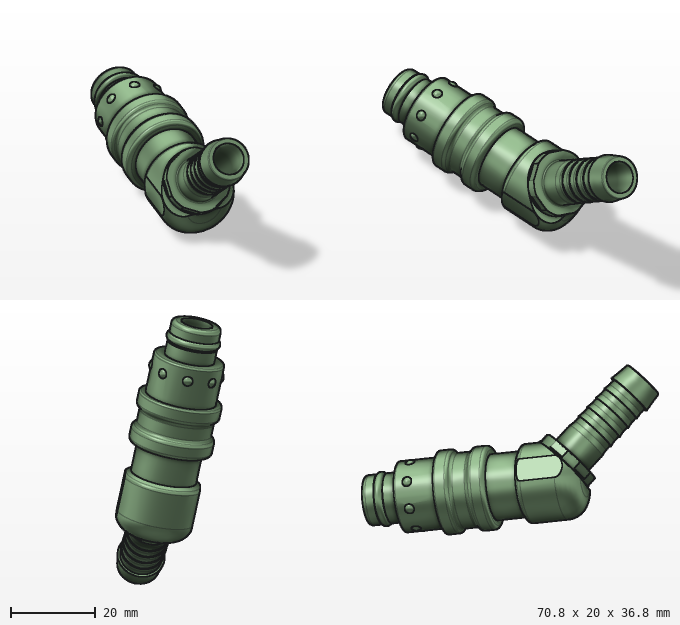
import cadquery as cq
import math

spigot_radius = 12.0 / 2
spigot_edge_fillet = 1.0
groove_start = 3.05
groove_end = 5.3
groove_radius = 9.0 / 2
ring_center = 4.05
ring_section_radius = 1.0

sleeve_start = 8.6
sleeve_radius = 16.95 / 2
sleeve_edge_fillet = 0.4
ball_count = 8
ball_station = 12.0
ball_radius = 1.5
ball_tip_radius = 18.0 / 2
ball_start_angle = -2

collar_start = 18.6
neck_start = 23.1
neck_end = 26.1
collar_end = 31.05
collar_radius = 20.0 / 2
neck_radius = 18.0 / 2
collar_front_fillet = 0.4
blend_radius = 1.0
blend_angle = math.radians(60)

shaft_radius = 15.7 / 2
elbow_shoulder = 39.7
elbow_end = 53.1
elbow_radius = 9.4
elbow_end_fillet = 4.95
elbow_flat_distance = 18.0 / 2
pivot_x = 44.0
nozzle_angle = 45
nut_seat = 5.45

bore_radius = 7.5 / 2
bore_depth = 35.4
drill_point_angle = 118
nozzle_bore_depth = 24.8

nut_radius = 15.6 / 2
nut_across_flats = 15.0
nut_collar_height = 0.5
nut_height = 2.7
hose_radius = 10.5 / 2
root_radius = 10.0 / 2
nozzle_root_fillet = 0.35
first_barb = 7.9
barb_pitch = 3.0
barb_count = 5
barb_taper_length = 1.5
head_start = first_barb + barb_count * barb_pitch
head_radius = 11.3 / 2
tip_radius = 10.05 / 2
nozzle_length = 27.55
tip_edge_fillet = 0.2

tilt = math.radians(nozzle_angle)
nozzle_direction = cq.Vector(math.cos(tilt), 0, math.sin(tilt))
seat_plane = cq.Plane(
    origin=cq.Vector(pivot_x, 0, 0) + nozzle_direction * nut_seat,
    xDir=(0, 1, 0),
    normal=nozzle_direction,
)


def cylinder_x(start, end, radius):
    """Solid cylinder on the main axis."""
    return cq.Workplane("YZ", origin=(start, 0, 0)).circle(radius).extrude(end - start)


def make_spigot():
    spigot = cylinder_x(0, sleeve_start, spigot_radius).faces("<X").edges().fillet(spigot_edge_fillet)
    groove = cylinder_x(groove_start, groove_end, sleeve_radius).cut(
        cylinder_x(groove_start, groove_end, groove_radius)
    )
    return spigot.cut(groove)


def make_sleeve():
    sleeve = cylinder_x(sleeve_start, collar_start, sleeve_radius)
    sleeve = sleeve.faces("<X").edges().fillet(sleeve_edge_fillet)
    center_radius = ball_tip_radius - ball_radius
    for index in range(ball_count):
        angle = math.radians(ball_start_angle + index * 360 / ball_count)
        center = (ball_station, center_radius * math.cos(angle), center_radius * math.sin(angle))
        sleeve = sleeve.union(cq.Workplane(origin=center).sphere(ball_radius))
    return sleeve


def make_collar():
    """Two rims joined to the neck by S-shaped blends of two equal arcs."""
    blend_step = blend_radius * math.sin(blend_angle)
    mid_step = blend_radius * math.sin(blend_angle / 2)
    mid_drop = blend_radius * (1 - math.cos(blend_angle / 2))
    mid_radius = (collar_radius + neck_radius) / 2
    front_rim_end = neck_start - 2 * blend_step
    rear_rim_start = neck_end + 2 * blend_step
    collar = (
        cq.Workplane("XY")
        .moveTo(collar_start, 0)
        .lineTo(collar_start, collar_radius)
        .lineTo(front_rim_end, collar_radius)
        .threePointArc((front_rim_end + mid_step, collar_radius - mid_drop),
                       (front_rim_end + blend_step, mid_radius))
        .threePointArc((neck_start - mid_step, neck_radius + mid_drop), (neck_start, neck_radius))
        .lineTo(neck_end, neck_radius)
        .threePointArc((neck_end + mid_step, neck_radius + mid_drop), (neck_end + blend_step, mid_radius))
        .threePointArc((rear_rim_start - mid_step, collar_radius - mid_drop),
                       (rear_rim_start, collar_radius))
        .lineTo(collar_end, collar_radius)
        .lineTo(collar_end, 0)
        .close()
        .revolve(360, (0, 0, 0), (1, 0, 0))
    )
    collar = collar.faces("<X").edges().fillet(collar_front_fillet)
    return collar.faces(">X").edges().fillet(blend_radius)


def make_elbow():
    """Round block with a rounded shoulder, two side flats and a sloped nut seat."""
    arc_x = elbow_shoulder - blend_radius * math.sin(blend_angle)
    arc_radius = elbow_radius - blend_radius * (1 - math.cos(blend_angle))
    cone_start = arc_x - (arc_radius - shaft_radius) / math.tan(blend_angle)
    arc_mid = (
        elbow_shoulder - blend_radius * math.sin(blend_angle / 2),
        elbow_radius - blend_radius * (1 - math.cos(blend_angle / 2)),
    )
    block = (
        cq.Workplane("XY")
        .moveTo(cone_start, 0)
        .lineTo(cone_start, shaft_radius)
        .lineTo(arc_x, arc_radius)
        .threePointArc(arc_mid, (elbow_shoulder, elbow_radius))
        .lineTo(elbow_end, elbow_radius)
        .lineTo(elbow_end, 0)
        .close()
        .revolve(360, (0, 0, 0), (1, 0, 0))
    )
    block = block.faces(">X").edges().fillet(elbow_end_fillet)
    flats = cq.Workplane("XY").box(2 * elbow_end, 2 * elbow_flat_distance, 4 * elbow_radius)
    above_seat = cq.Workplane(seat_plane).rect(4 * elbow_radius, 4 * elbow_radius).extrude(2 * elbow_radius)
    return block.intersect(flats).cut(above_seat)


def make_nut():
    """Hexagon with its corners turned round, on a thin round collar."""
    corner_diameter = nut_across_flats / math.cos(math.radians(30))
    hexagon = (
        cq.Workplane(seat_plane)
        .transformed(rotate=(0, 0, 30))
        .polygon(6, corner_diameter)
        .extrude(nut_height)
    )
    collar = cq.Workplane(seat_plane).circle(nut_radius).extrude(nut_collar_height)
    turned_blank = cq.Workplane(seat_plane).circle(nut_radius).extrude(nut_height)
    return hexagon.intersect(turned_blank).union(collar)


def make_nozzle():
    """Hose tail with tapered barbs and a conical head."""
    profile_plane = cq.Plane(
        origin=seat_plane.origin, xDir=seat_plane.xDir, normal=seat_plane.xDir.cross(nozzle_direction)
    )
    root_end = nut_height + nozzle_root_fillet
    profile = (
        cq.Workplane(profile_plane)
        .lineTo(hose_radius + nozzle_root_fillet, 0)
        .lineTo(hose_radius + nozzle_root_fillet, nut_height)
        .radiusArc((hose_radius, root_end), nozzle_root_fillet)
    )
    for index in range(barb_count):
        barb_start = first_barb + index * barb_pitch
        profile = (
            profile.lineTo(hose_radius, barb_start)
            .lineTo(root_radius, barb_start + barb_taper_length)
            .lineTo(root_radius, barb_start + barb_pitch)
        )
    nozzle = (
        profile.lineTo(head_radius, head_start)
        .lineTo(tip_radius, nozzle_length)
        .lineTo(0, nozzle_length)
        .close()
        .revolve(360, (0, 0, 0), (0, 1, 0))
    )
    tip_face = nozzle.faces(cq.selectors.DirectionMinMaxSelector(nozzle_direction, True))
    return tip_face.edges().fillet(tip_edge_fillet)


def make_main_bore():
    """Blind drilled hole with a conical bottom."""
    point_length = bore_radius / math.tan(math.radians(drill_point_angle / 2))
    return (
        cq.Workplane("XY")
        .lineTo(0, bore_radius)
        .lineTo(bore_depth, bore_radius)
        .lineTo(bore_depth + point_length, 0)
        .close()
        .revolve(360, (0, 0, 0), (1, 0, 0))
    )


def make_nozzle_bore():
    return (
        cq.Workplane(seat_plane)
        .workplane(offset=nozzle_length)
        .circle(bore_radius)
        .extrude(-nozzle_bore_depth)
    )


def make_fitting():
    shaft = cylinder_x(collar_end, elbow_shoulder, shaft_radius)
    fitting = make_spigot()
    for section in (make_sleeve(), make_collar(), shaft, make_elbow(), make_nut(), make_nozzle()):
        fitting = fitting.union(section)
    return fitting.cut(make_main_bore()).cut(make_nozzle_bore())


def make_seal_ring():
    """O-ring resting on the groove floor."""
    center_radius = groove_radius + ring_section_radius
    center = cq.Vector(ring_center, 0, 0)
    axis = cq.Vector(1, 0, 0)
    return cq.Workplane(cq.Solid.makeTorus(center_radius, ring_section_radius, center, axis))


fitting = make_fitting()
seal_ring = make_seal_ring()
result = cq.Compound.makeCompound([fitting.solids().val(), seal_ring.val()])